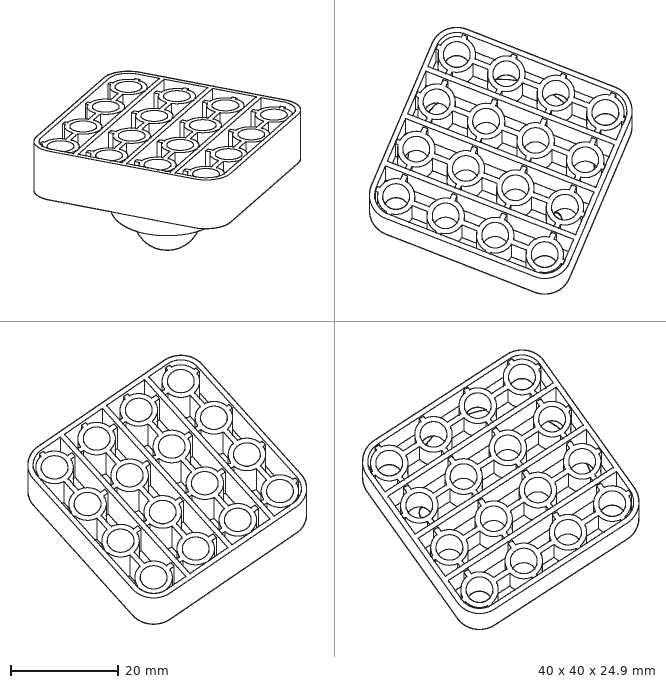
import cadquery as cq
import math

side = 40.0
tray_height = 10.0
corner_radius = 5.0
wall = 1.0
floor = wall

grid_count = 4
pitch = side / grid_count
tube_bore = pitch / 2
tube_diameter = tube_bore + 2 * wall
grid_drop = 1.0
grid_height = tray_height - grid_drop

flange_diameter = 35.0
flange_thickness = 0.65
cup_diameter = 21.6
housing_depth = 8.6
cup_edge_radius = 2.5

screw_count = 3
screw_circle_radius = 14.0
screw_hole_diameter = 3.0
screw_start_angle = 67.3

ball_radius = 6.35

inner_side = side - 2 * wall
tube_offsets = [pitch * (i - (grid_count - 1) / 2) for i in range(grid_count)]
divider_offsets = [pitch * (i - grid_count / 2) for i in range(1, grid_count)]
tube_centres = [(x, y) for x in tube_offsets for y in tube_offsets]


def rounded_block(width, radius, bottom, top):
    """Square block with rounded vertical edges between two heights."""
    block = cq.Workplane("XY").workplane(offset=bottom).rect(width, width).extrude(top - bottom)
    return block.edges("|Z").fillet(radius)


def straight_wall(centre, size_x, size_y, height):
    """Upright wall rising from the bottom of the tray."""
    return cq.Workplane("XY").center(*centre).rect(size_x, size_y).extrude(height)


def make_tray():
    """Open-topped tray with dividers, ribs and a grid of bored tubes."""
    tray = rounded_block(side, corner_radius, 0, tray_height)
    tray = tray.cut(rounded_block(inner_side, corner_radius - wall, floor, tray_height))

    for x in divider_offsets:
        tray = tray.union(straight_wall((x, 0), wall, inner_side + wall, tray_height))

    for offset in tube_offsets:
        tray = tray.union(straight_wall((offset, 0), wall, inner_side + wall, grid_height))
        tray = tray.union(straight_wall((0, offset), inner_side + wall, wall, grid_height))

    tubes = cq.Workplane("XY").pushPoints(tube_centres).circle(tube_diameter / 2).extrude(grid_height)
    bores = cq.Workplane("XY").pushPoints(tube_centres).circle(tube_bore / 2).extrude(tray_height)
    return tray.union(tubes).cut(bores)


def make_ball():
    """Rolling ball, half of it standing out of the cup."""
    return cq.Workplane("XY").sphere(ball_radius).translate((0, 0, -housing_depth))


def make_housing(ball):
    """Flanged cup with a socket that fits the ball."""
    cup = cq.Workplane("XY").circle(cup_diameter / 2).extrude(-housing_depth)
    cup = cup.faces("<Z").edges().fillet(cup_edge_radius)
    flange = cq.Workplane("XY").circle(flange_diameter / 2).extrude(-flange_thickness)

    angles = [math.radians(screw_start_angle + 360 / screw_count * i) for i in range(screw_count)]
    screw_centres = [(screw_circle_radius * math.cos(a), screw_circle_radius * math.sin(a)) for a in angles]
    screw_holes = (
        cq.Workplane("XY").pushPoints(screw_centres).circle(screw_hole_diameter / 2).extrude(-flange_thickness)
    )
    return flange.cut(screw_holes).union(cup).cut(ball)


tray = make_tray()
ball = make_ball()
housing = make_housing(ball)

result = cq.Compound.makeCompound([tray.solids().val(), housing.solids().val(), ball.val()])